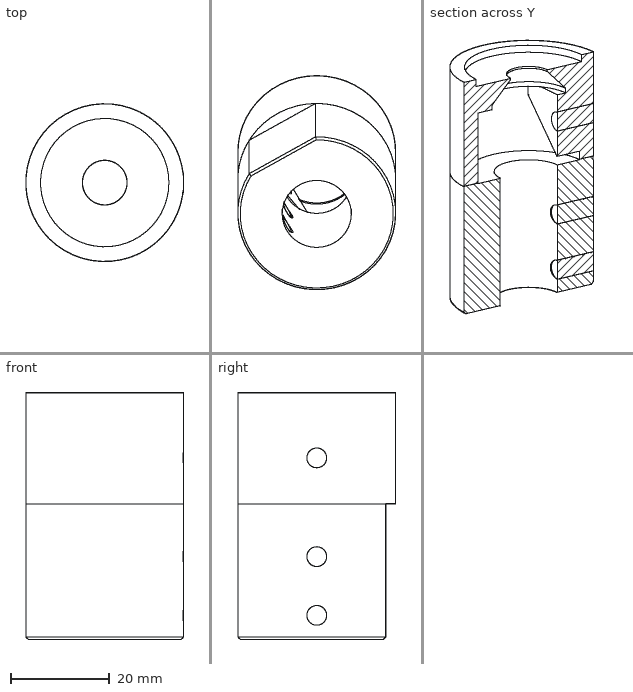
import cadquery as cq
import math

outer_radius = 16.0
total_height = 50.0
joint_height = 27.5
base_flat_y = 14.0
base_chamfer = 0.5

recess_radius = 13.0
recess_depth = 1.5
eye_radius = 4.5
eye_land = 0.4
flare_radius = 9.0
cavity_top = 42.6
cavity_radius = 12.5

pad_face_x = 7.0
pad_shoulder_z = 39.6

screw_radius = 2.0
screw_tip_x = pad_face_x
cap_screw_z = 36.8
base_screw_heights = (4.9, 16.8)

base_bore_radius = screw_tip_x

recess_floor = total_height - recess_depth
flare_top = recess_floor - eye_land
flare_bottom = flare_top - (flare_radius - eye_radius)


def cylinder(radius, bottom, top):
    """Upright cylinder on the Z axis between two heights."""
    return cq.Workplane("XY").workplane(offset=bottom).circle(radius).extrude(top - bottom)


def screw_rod(inner_x, height):
    """Rod along X from inner_x to the outermost point of the +X side."""
    return cq.Workplane("YZ", origin=(inner_x, 0, height)).circle(screw_radius).extrude(outer_radius - inner_x)


def make_eye():
    """Space of the eye hole: straight land, 45 degree flare and short bore."""
    profile = [
        (0, cavity_top),
        (flare_radius, cavity_top),
        (flare_radius, flare_bottom),
        (eye_radius, flare_top),
        (eye_radius, recess_floor),
        (0, recess_floor),
    ]
    return cq.Workplane("XZ").polyline(profile).close().revolve(360, (0, 0, 0), (0, 1, 0))


def make_pad():
    """Prism of the screw pad: flat face toward -X, square at the top, tapered to a point below."""
    half_width = math.sqrt(cavity_radius**2 - pad_face_x**2)
    profile = [
        (-half_width, cavity_top),
        (half_width, cavity_top),
        (half_width, pad_shoulder_z),
        (0, pad_shoulder_z - half_width),
        (-half_width, pad_shoulder_z),
    ]
    prism = cq.Workplane("YZ", origin=(pad_face_x, 0, 0)).polyline(profile).close()
    return prism.extrude(outer_radius - pad_face_x)


def make_cap():
    """Upper housing: top recess, flared eye hole, wide cavity with its pad, and a screw hole."""
    cap = cylinder(outer_radius, joint_height, total_height)
    cap = cap.cut(cylinder(recess_radius, recess_floor, total_height))
    cap = cap.cut(make_eye())
    cap = cap.cut(cylinder(cavity_radius, joint_height, cavity_top).cut(make_pad()))
    return cap.cut(screw_rod(screw_tip_x, cap_screw_z))


def make_base():
    """Lower housing: bored cylinder with a flat, a chamfered bottom rim and two screw holes."""
    base = cylinder(outer_radius, 0, joint_height)
    beyond_flat = cq.Workplane("XY", origin=(0, base_flat_y, 0)).box(
        2 * outer_radius, outer_radius, joint_height, centered=(True, False, False)
    )
    base = base.cut(beyond_flat)
    base = base.faces("<Z").chamfer(base_chamfer)
    base = base.cut(cylinder(base_bore_radius, 0, joint_height))
    for height in base_screw_heights:
        base = base.cut(screw_rod(0, height))
    return base


def make_set_screw(height):
    """Set screw that fills its hole from the tip to the outside."""
    return screw_rod(screw_tip_x, height)


cap = make_cap()
base = make_base()
set_screws = [make_set_screw(height) for height in (*base_screw_heights, cap_screw_z)]

result = cq.Compound.makeCompound([cap.val(), base.val(), *[screw.val() for screw in set_screws]])